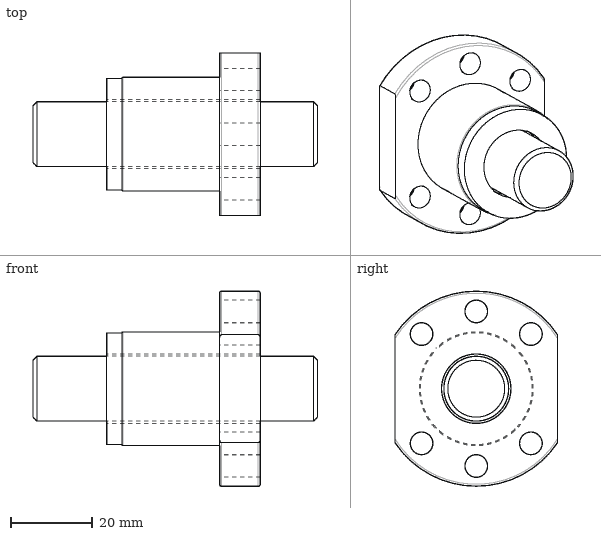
import cadquery as cq
import math

shaft_diameter = 16.0
shaft_length = 70.0
shaft_chamfer = 1.0

end_ring_start = 18.1
bore_diameter = 17.0
end_ring_diameter = 27.5
end_ring_length = 3.8
barrel_diameter = 28.0
barrel_length = 24.0
barrel_fillet = (barrel_diameter - end_ring_diameter) / 2

flange_diameter = 48.0
flange_width = 40.0
flange_thickness = 10.0
flange_fillet = 0.5

hole_diameter = 5.5
hole_circle_diameter = 38.0
hole_spacing_angle = 45.0

barrel_start = end_ring_start + end_ring_length
flange_start = barrel_start + barrel_length
nut_end = flange_start + flange_thickness


def cylinder_along_x(start, length, diameter):
    """Solid cylinder on the X axis, beginning at the given X position."""
    return cq.Workplane("YZ", origin=(start, 0, 0)).circle(diameter / 2).extrude(length)


def make_shaft():
    """Plain round shaft, chamfered at both ends."""
    return cylinder_along_x(0, shaft_length, shaft_diameter).edges().chamfer(shaft_chamfer)


def make_end_ring():
    """Plain ring butted against the front face of the nut, inside its rounded rim."""
    ring = cylinder_along_x(end_ring_start, end_ring_length, end_ring_diameter)
    return ring.cut(cylinder_along_x(end_ring_start, end_ring_length, bore_diameter))


def make_flange():
    """Round flange with rounded rims, cut by two flats facing -Y and +Y."""
    disc = cylinder_along_x(flange_start, flange_thickness, flange_diameter)
    disc = disc.edges().fillet(flange_fillet)
    flats = cq.Workplane("YZ", origin=(flange_start, 0, 0))
    flats = flats.rect(flange_width, flange_diameter).extrude(flange_thickness)
    return disc.intersect(flats)


def mounting_hole_points():
    """(Y, Z) centres of the mounting holes."""
    points = []
    radius = hole_circle_diameter / 2
    for middle_angle in (90, 270):
        for step in (-1, 0, 1):
            angle = math.radians(middle_angle + step * hole_spacing_angle)
            points.append((radius * math.cos(angle), radius * math.sin(angle)))
    return points


def make_nut():
    """Barrel and flange in one piece, bored through with clearance around the shaft."""
    barrel = cylinder_along_x(barrel_start, barrel_length, barrel_diameter)
    barrel = barrel.faces("<X").edges().fillet(barrel_fillet)
    nut = barrel.union(make_flange())
    holes = cq.Workplane("YZ", origin=(flange_start, 0, 0))
    holes = holes.pushPoints(mounting_hole_points()).circle(hole_diameter / 2).extrude(flange_thickness)
    bore = cylinder_along_x(barrel_start, nut_end - barrel_start, bore_diameter)
    return nut.cut(holes).cut(bore)


shaft = make_shaft()
end_ring = make_end_ring()
nut = make_nut()

result = cq.Compound.makeCompound([shaft.val(), end_ring.val(), nut.val()])